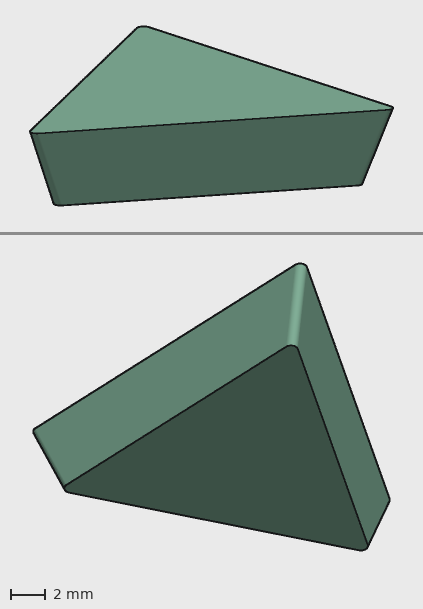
import cadquery as cq
import math

top_width = 21.4
thickness = 4.75
nose_radius = 0.4
relief_angle = 11.0

top_centre_radius = (top_width - 2 * nose_radius) / math.sqrt(3)
flank_inset = thickness * math.tan(math.radians(relief_angle))
bottom_centre_radius = top_centre_radius - 2 * flank_inset


def rounded_triangle(centre_radius, height):
    """Closed outline of a rounded triangle pointing to +X, at the given height."""
    return (
        cq.Workplane("XY", origin=(0, 0, height))
        .polygon(3, 2 * centre_radius)
        .offset2D(nose_radius, "arc")
        .val()
    )


bottom_outline = rounded_triangle(bottom_centre_radius, 0)
top_outline = rounded_triangle(top_centre_radius, thickness)

insert_body = cq.Solid.makeLoft([bottom_outline, top_outline], True)
result = cq.Workplane("XY").newObject([insert_body])